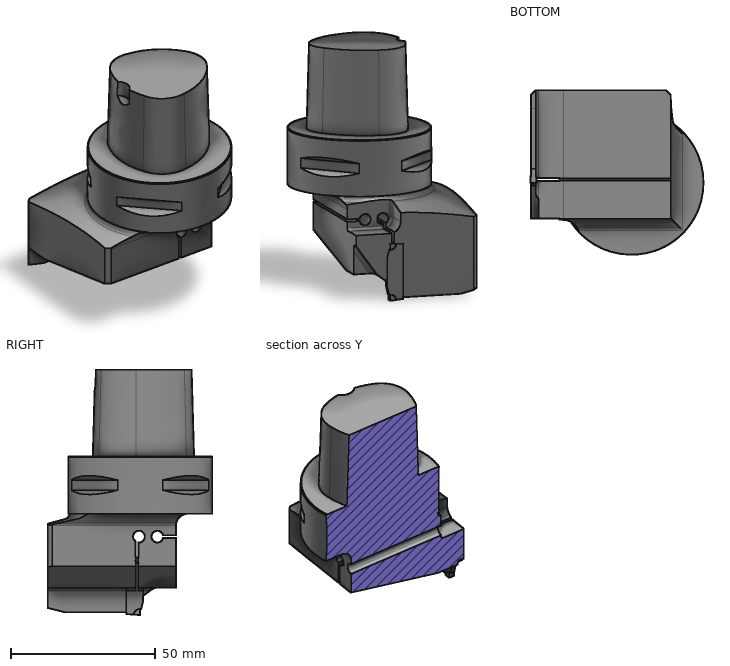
import cadquery as cq
import math


total_height = 85.0
shank_length = 29.9
insert_end_z = shank_length - total_height

shank_base_radius = 17.6
shank_top_radius = 16.75
lobe_rise = 1.1
flank_half_angle = 24.5
key_radius = 4.3
key_axis_y = -18.1
key_floor_z = 24.3
key_floor_angle = 40.0

flange_diameter = 50.0
flange_radius = flange_diameter / 2
flange_height = 20.0
flange_bottom_z = -flange_height
flange_edge_chamfer = 0.3
grip_floor_distance = 22.3
grip_floor_height = 3.4
grip_center_z = -10.0
grip_side_angle = 30.0
grip_count = 4

neck_fillet = 2.0
skirt_radius = 26.0
skirt_top_z = -21.8
skirt_angle = 15.0
skirt_outer_radius = 55.25

block_left_x = -34.85
block_right_x = 13.6
block_front_y = -32.05
block_back_y = 12.4
block_bottom_z = -45.65
block_cove_radius = 4.0
corner_chamfer = 1.6
slope_start_x = -23.6
slope_angle = 11.5

blade_thickness = 1.6
blade_back_x = block_left_x + blade_thickness
blade_bottom_z = -54.15
blade_slant_y = -25.8
blade_slant_rise = 1.5
blade_root_radius = 1.0

setback_x = -32.05
setback_fillet = 1.45
setback_top_z = -35.1
setback_knee = (4.85, -45.5)
setback_foot = (1.0, -48.4)

pocket_wall_x = -25.1
pocket_front_y = -3.8
pocket_floor_z = -31.4
pocket_corner_radius = 4.0
pocket_foot_fillet = 0.9
hole_diameter = 4.0
hole_z = -27.9
back_hole_y = 5.95
front_hole_y = -0.4
slit_width = 0.9
front_slit_y = -1.1

insert_seat_y = -4.8
insert_crest_y = 1.0
insert_length = 20.15
edge_y = 0.0
end_relief = 0.3
rake_length = 2.0
rake_step_y = 0.3
crest_inset = 4.85
tip_width = 2.2
tip_left_x = -35.0
tip_radius = 2.2

margin = 8.5


def lobe_point(mean_radius, angle):
    """Point of the three-lobed curve whose outward normal is at the given angle."""
    turn = math.radians(angle)
    phase = math.radians(3 * (angle - 90))
    reach = mean_radius + lobe_rise * math.cos(phase)
    slide = -3 * lobe_rise * math.sin(phase)
    x = reach * math.cos(turn) - slide * math.sin(turn)
    y = reach * math.sin(turn) + slide * math.cos(turn)
    return (x, y)


def lobe_outline(plane, mean_radius):
    """Closed outline of six arcs: a flank opposite each lobe and a lobe between flanks."""
    outline = plane.moveTo(*lobe_point(mean_radius, -90 - flank_half_angle))
    for flank_angle in (-90, 30, 150):
        lobe_angle = flank_angle + 60
        flank_end = flank_angle + flank_half_angle
        lobe_end = flank_angle + 120 - flank_half_angle
        outline = outline.threePointArc(
            lobe_point(mean_radius, flank_angle), lobe_point(mean_radius, flank_end)
        )
        outline = outline.threePointArc(
            lobe_point(mean_radius, lobe_angle), lobe_point(mean_radius, lobe_end)
        )
    return outline.close()


def make_shank():
    base = lobe_outline(cq.Workplane("XY"), shank_base_radius)
    top_plane = base.workplane(offset=shank_length)
    shank = lobe_outline(top_plane, shank_top_radius).loft(ruled=True, combine=True)
    key_cone_drop = key_radius * math.tan(math.radians(key_floor_angle))
    key = (
        cq.Workplane("XZ")
        .moveTo(0, key_floor_z - key_cone_drop)
        .lineTo(key_radius, key_floor_z)
        .lineTo(key_radius, shank_length + margin)
        .lineTo(0, shank_length + margin)
        .close()
        .revolve(360, (0, 0), (0, 1))
        .translate((0, key_axis_y, 0))
    )
    return shank.cut(key)


def make_flange():
    flange = cq.Workplane("XY").circle(flange_radius).extrude(-flange_height)
    flange = flange.faces(">Z").edges().chamfer(flange_edge_chamfer)
    floor_half = grip_floor_height / 2
    slot_depth = flange_radius - grip_floor_distance + margin
    outer_half = floor_half + slot_depth * math.tan(math.radians(grip_side_angle))
    slot = (
        cq.Workplane("XZ")
        .polyline([
            (grip_floor_distance, grip_center_z - floor_half),
            (grip_floor_distance + slot_depth, grip_center_z - outer_half),
            (grip_floor_distance + slot_depth, grip_center_z + outer_half),
            (grip_floor_distance, grip_center_z + floor_half),
        ])
        .close()
        .extrude(flange_radius, both=True)
    )
    for index in range(grip_count):
        angle = 45 + index * 360 / grip_count
        flange = flange.cut(slot.rotate((0, 0, 0), (0, 0, 1), angle))
    return flange


def arc_bulge(radius):
    """Distance from a square corner to the middle of its rounding arc, along either side."""
    return radius * (1 - math.sqrt(0.5))


def make_side_profile():
    """Block and blade along Y, with the cove on the right face and the root of the blade."""
    cove = block_cove_radius
    root = blade_root_radius
    slope_rise = (block_right_x - slope_start_x) * math.tan(math.radians(slope_angle))
    depth = block_back_y + cove - block_front_y
    return (
        cq.Workplane("XZ", origin=(0, block_front_y, 0))
        .moveTo(block_left_x, flange_bottom_z)
        .lineTo(block_left_x, blade_bottom_z)
        .lineTo(blade_back_x, blade_bottom_z)
        .lineTo(blade_back_x, block_bottom_z - root)
        .threePointArc(
            (blade_back_x + arc_bulge(root), block_bottom_z - arc_bulge(root)),
            (blade_back_x + root, block_bottom_z),
        )
        .lineTo(slope_start_x, block_bottom_z)
        .lineTo(block_right_x, block_bottom_z + slope_rise)
        .lineTo(block_right_x, flange_bottom_z - cove)
        .threePointArc(
            (block_right_x + arc_bulge(cove), flange_bottom_z - arc_bulge(cove)),
            (block_right_x + cove, flange_bottom_z),
        )
        .close()
        .extrude(-depth)
    )


def make_end_profile():
    """Block and blade along X, with the cove on the back face and the slanted lower edge."""
    cove = block_cove_radius
    width = block_right_x + cove - block_left_x
    return (
        cq.Workplane("YZ", origin=(block_left_x, 0, 0))
        .moveTo(block_front_y, flange_bottom_z)
        .lineTo(block_front_y, blade_bottom_z + blade_slant_rise)
        .lineTo(blade_slant_y, blade_bottom_z)
        .lineTo(block_back_y, blade_bottom_z)
        .lineTo(block_back_y, flange_bottom_z - cove)
        .threePointArc(
            (block_back_y + arc_bulge(cove), flange_bottom_z - arc_bulge(cove)),
            (block_back_y + cove, flange_bottom_z),
        )
        .close()
        .extrude(width)
    )


def make_plan_profile():
    """Block along Z, with its two front corners chamfered. The right chamfer runs on into the cove."""
    outer_x = block_right_x + block_cove_radius
    outer_y = block_back_y + block_cove_radius
    chamfer_end_y = block_front_y + corner_chamfer
    return (
        cq.Workplane("XY")
        .polyline([
            (block_left_x, chamfer_end_y),
            (block_left_x + corner_chamfer, block_front_y),
            (block_right_x - corner_chamfer, block_front_y),
            (outer_x, chamfer_end_y + block_cove_radius),
            (outer_x, outer_y),
            (block_left_x, outer_y),
        ])
        .close()
        .extrude(-total_height)
    )


def make_skirt():
    """Everything below the conical top of the block and its concave neck."""
    cone_drop = (skirt_outer_radius - skirt_radius) * math.tan(math.radians(skirt_angle))
    center_r = skirt_radius + neck_fillet * math.sin(math.radians(skirt_angle))
    center_z = skirt_top_z + neck_fillet * math.cos(math.radians(skirt_angle))
    neck_radius = center_r - math.sqrt(neck_fillet**2 - (center_z - flange_bottom_z) ** 2)
    bulge_reach = neck_fillet * math.sqrt(0.5)
    return (
        cq.Workplane("XZ")
        .moveTo(0, flange_bottom_z)
        .lineTo(neck_radius, flange_bottom_z)
        .threePointArc(
            (center_r - bulge_reach, center_z - bulge_reach),
            (skirt_radius, skirt_top_z),
        )
        .lineTo(skirt_outer_radius, skirt_top_z - cone_drop)
        .lineTo(skirt_outer_radius, -total_height)
        .lineTo(0, -total_height)
        .close()
        .revolve(360, (0, 0), (0, 1))
    )


def make_setback_cut():
    """Clears the material below the diagonal edge, back to the setback face."""
    edge_run = block_back_y - setback_knee[0]
    edge_slope = (setback_top_z - setback_knee[1]) / edge_run
    outer_y = block_back_y + margin
    low_z = blade_bottom_z - margin
    cutter = (
        cq.Workplane("YZ", origin=(block_left_x - margin, 0, 0))
        .polyline([
            (outer_y, setback_top_z + edge_slope * margin),
            setback_knee,
            setback_foot,
            (insert_seat_y, setback_foot[1]),
            (insert_seat_y, low_z),
            (outer_y, low_z),
        ])
        .close()
        .extrude(setback_x - block_left_x + margin)
    )
    diagonal_middle = (
        setback_x,
        (outer_y + setback_knee[0]) / 2,
        (setback_top_z + edge_slope * margin + setback_knee[1]) / 2,
    )
    foot_middle = (
        setback_x,
        (setback_knee[0] + setback_foot[0]) / 2,
        (setback_knee[1] + setback_foot[1]) / 2,
    )
    diagonal_edge = cq.selectors.NearestToPointSelector(diagonal_middle)
    foot_edge = cq.selectors.NearestToPointSelector(foot_middle)
    return cutter.edges(diagonal_edge + foot_edge).fillet(setback_fillet)


def make_pocket_cut():
    """Clears the space above the clamp, with rounded lower corner and foot."""
    outer_y = block_back_y + block_cove_radius + margin
    corner = pocket_corner_radius
    return (
        cq.Workplane("YZ", origin=(block_left_x - margin, 0, 0))
        .moveTo(pocket_front_y, margin)
        .lineTo(pocket_front_y, pocket_floor_z + corner)
        .threePointArc(
            (pocket_front_y + arc_bulge(corner), pocket_floor_z + arc_bulge(corner)),
            (pocket_front_y + corner, pocket_floor_z),
        )
        .lineTo(outer_y, pocket_floor_z)
        .lineTo(outer_y, margin)
        .close()
        .extrude(pocket_wall_x - block_left_x + margin)
        .faces(">X")
        .edges()
        .fillet(pocket_foot_fillet)
    )


def make_clamp_slits():
    """Two relief holes through the block, one slit to the back and one down past the insert."""
    reach = block_right_x + block_cove_radius - block_left_x
    plane = cq.Workplane("YZ", origin=(block_left_x, 0, 0))
    holes = (
        plane.pushPoints([(back_hole_y, hole_z), (front_hole_y, hole_z)])
        .circle(hole_diameter / 2)
        .extrude(reach)
    )
    back_length = block_back_y + margin - back_hole_y
    back_slit = (
        plane.center(back_hole_y + back_length / 2, hole_z)
        .rect(back_length, slit_width)
        .extrude(reach)
    )
    down_length = hole_z - block_bottom_z + margin
    down_slit = (
        plane.center(front_slit_y, hole_z - down_length / 2)
        .rect(slit_width, down_length)
        .extrude(reach)
    )
    return holes.union(back_slit).union(down_slit)


def make_insert():
    half = insert_length / 2
    half_seat = half - end_relief
    center_z = insert_end_z + half
    body = (
        cq.Workplane("YZ", origin=(block_left_x, 0, center_z))
        .polyline([
            (insert_seat_y, half_seat),
            (edge_y, half),
            (edge_y, half - rake_length),
            (rake_step_y, half - rake_length),
            (insert_crest_y, half - crest_inset),
            (insert_crest_y, crest_inset - half),
            (rake_step_y, rake_length - half),
            (edge_y, rake_length - half),
            (edge_y, -half),
            (insert_seat_y, -half_seat),
        ])
        .close()
        .extrude(blade_thickness)
    )
    lean = end_relief / (edge_y - insert_seat_y)
    tip = (
        cq.Workplane("YZ", origin=(tip_left_x, 0, center_z))
        .moveTo(edge_y, half)
        .lineTo(edge_y, half - tip_radius)
        .threePointArc(
            (edge_y - tip_radius * math.sqrt(0.5), half - tip_radius * math.sqrt(0.5)),
            (edge_y - tip_radius, half - lean * tip_radius),
        )
        .close()
        .extrude(tip_width)
    )
    opposite_tip = tip.mirror("XY", (0, 0, center_z))
    return body.union(tip).union(opposite_tip)


def make_holder(insert):
    block = make_side_profile().intersect(make_end_profile())
    block = block.intersect(make_plan_profile()).intersect(make_skirt())
    block = block.cut(make_setback_cut()).cut(make_pocket_cut())
    block = block.cut(make_clamp_slits()).cut(insert)
    return block.union(make_flange()).union(make_shank())


insert = make_insert()
holder = make_holder(insert)
result = cq.Compound.makeCompound([holder.solids().val(), insert.solids().val()])